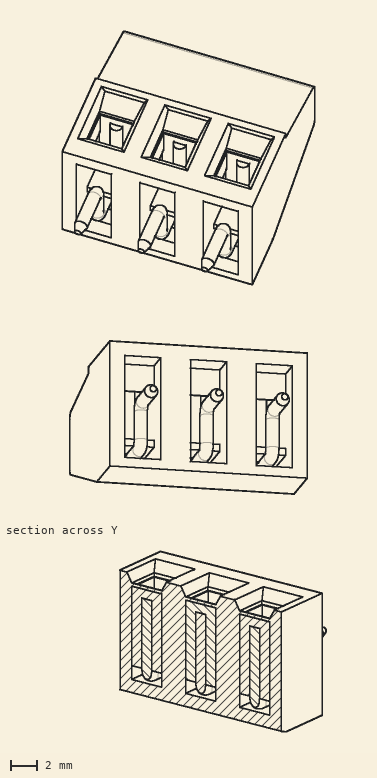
import cadquery as cq


pole_count = 3
width = 15.24
pitch = width / pole_count
overall_depth = 17.3
depth = 13.75
height = 9.8
top_depth = 7.35
step_drop = 0.52
back_top_z = 7.87
back_bottom_z = 3.11
bottom_depth = 4.55
back_fillet = 0.5

funnel_width = 3.7
funnel_front_y = 1.54
funnel_back_y = 6.76
funnel_back_wall = 0.47
opening_front_y = 2.34
opening_back_y = 5.07
opening_top_z = 9.01

cavity_width = 2.79
cavity_floor_z = 0.75
cavity_top_z = 8.72
ramp_start_y = 1.16
ramp_run = 0.93
ramp_rise = 0.54
inner_floor_z = cavity_floor_z + ramp_rise

pin_radius = 0.5
pin_bend = 0.6
pin_projection = overall_depth - depth
pin_z = 5.22
tip_length = 0.71
tip_radius = 0.25
front_leg_y = 0.71
lower_run_z = inner_floor_z + pin_radius
pin_end_z = 8.03

cage_floor_thickness = 0.54
cage_side_wall = 0.09
cage_end_wall = 0.1
wire_back_y = opening_back_y - cage_end_wall
cage_back_y = wire_back_y + 2 * pin_radius
collar_bottom_z = 6.63
cage_floor_z = 2.89
cage_bottom_z = cage_floor_z - cage_floor_thickness

pole_xs = [(i - (pole_count - 1) / 2) * pitch for i in range(pole_count)]


def box(x_size, y_start, y_end, z_start, z_end):
    """Box centred on X = 0 between the given Y and Z limits."""
    block = cq.Workplane().box(x_size, y_end - y_start, z_end - z_start, centered=(True, False, False))
    return block.translate((0, y_start, z_start))


def side_prism(points, x_size):
    """Prism with a (Y, Z) outline, centred on X = 0."""
    return cq.Workplane("YZ").polyline(points).close().extrude(x_size / 2, both=True)


def make_funnel():
    """Four-sided funnel whose back starts with an upright wall, and the straight opening below it."""
    lengthwise = side_prism(
        [
            (opening_front_y, opening_top_z),
            (funnel_front_y, height),
            (funnel_back_y, height),
            (funnel_back_y, height - funnel_back_wall),
            (opening_back_y, opening_top_z),
        ],
        funnel_width,
    )
    crosswise = (
        cq.Workplane("XZ")
        .polyline(
            [
                (-cavity_width / 2, opening_top_z),
                (-funnel_width / 2, height),
                (funnel_width / 2, height),
                (cavity_width / 2, opening_top_z),
            ]
        )
        .close()
        .extrude(-depth)
    )
    opening = box(cavity_width, opening_front_y, opening_back_y, cavity_top_z, opening_top_z)
    return lengthwise.intersect(crosswise).union(opening)


def make_cavity():
    """Pocket for the pin and cage; its floor ramps up behind the front leg of the pin."""
    return side_prism(
        [
            (0, cavity_floor_z),
            (ramp_start_y, cavity_floor_z),
            (ramp_start_y + ramp_run, inner_floor_z),
            (cage_back_y, inner_floor_z),
            (cage_back_y, cavity_top_z),
            (0, cavity_top_z),
        ],
        cavity_width,
    )


def make_housing():
    """Side outline with a stepped, sloping top, cut by a cavity and a funnel in each pole."""
    body = side_prism(
        [
            (0, 0),
            (bottom_depth, 0),
            (depth, back_bottom_z),
            (depth, back_top_z),
            (top_depth, height - step_drop),
            (top_depth, height),
            (0, height),
        ],
        width,
    )
    body = body.faces(">Y").edges("|X").fillet(back_fillet)
    funnel = make_funnel()
    cavity = make_cavity()
    for x in pole_xs:
        body = body.cut(cavity.translate((x, 0, 0))).cut(funnel.translate((x, 0, 0)))
    return body


def make_pin():
    """Round wire: out of the front face, down, back along the floor, then up the back of the cage."""
    bend_diagonal = pin_bend * (1 - 0.5**0.5)
    tip_start_y = tip_length - pin_projection
    path = (
        cq.Workplane("YZ")
        .moveTo(tip_start_y, pin_z)
        .lineTo(front_leg_y - pin_bend, pin_z)
        .threePointArc(
            (front_leg_y - bend_diagonal, pin_z - bend_diagonal),
            (front_leg_y, pin_z - pin_bend),
        )
        .lineTo(front_leg_y, lower_run_z + pin_bend)
        .threePointArc(
            (front_leg_y + bend_diagonal, lower_run_z + bend_diagonal),
            (front_leg_y + pin_bend, lower_run_z),
        )
        .lineTo(wire_back_y - pin_bend, lower_run_z)
        .threePointArc(
            (wire_back_y - bend_diagonal, lower_run_z + bend_diagonal),
            (wire_back_y, lower_run_z + pin_bend),
        )
        .lineTo(wire_back_y, pin_end_z)
    )
    start = cq.Workplane("XZ", origin=(0, tip_start_y, pin_z))
    wire = start.circle(pin_radius).sweep(path)
    tip = start.circle(pin_radius).workplane(offset=tip_length).circle(tip_radius).loft()
    return wire.union(tip)


def make_cage(pin):
    """Collar around the wire entry, joined to a floor plate by a back wall grooved for the pin."""
    cage = box(cavity_width, opening_front_y, cage_back_y, cage_bottom_z, cavity_top_z)
    wire_hole = box(
        cavity_width - 2 * cage_side_wall,
        opening_front_y + cage_end_wall,
        wire_back_y,
        cage_floor_z,
        cavity_top_z,
    )
    window = box(cavity_width, opening_front_y, wire_back_y, cage_floor_z, collar_bottom_z)
    return cage.cut(wire_hole).cut(window).cut(pin)


housing = make_housing()
pin = make_pin()
cage = make_cage(pin)
pins = [pin.translate((x, 0, 0)) for x in pole_xs]
cages = [cage.translate((x, 0, 0)) for x in pole_xs]

result = cq.Compound.makeCompound(
    [housing.val(), *[body.val() for body in pins], *[body.val() for body in cages]]
)